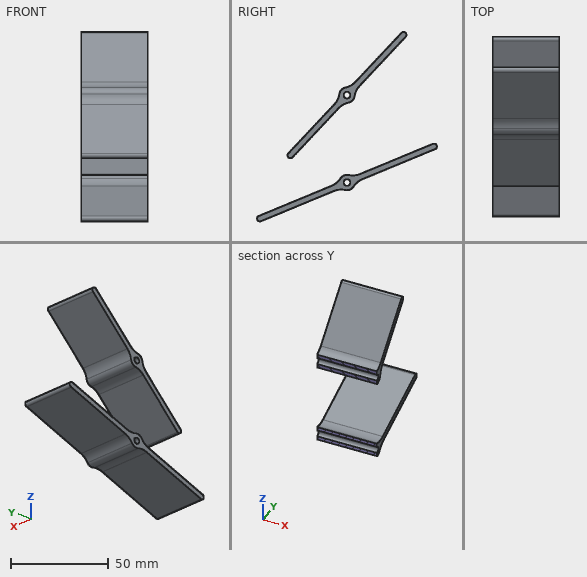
import cadquery as cq
import math

blade_width = 34.5
blade_thickness = 3.0
hub_radius = 4.0
blend_radius = 10.0
bore_diameter = 3.3

lower_half_span = 48.5
lower_tilt = 22.5
upper_half_span = 42.6
upper_tilt = 46.8
bore_spacing = 45.0


def blade_profile(half_span):
    """Flat strip with rounded tips and a hub blended in by concave arcs."""
    half_thickness = blade_thickness / 2

    blend_height = half_thickness + blend_radius
    centre_distance = hub_radius + blend_radius
    blend_offset = math.sqrt(centre_distance**2 - blend_height**2)

    hub_ratio = hub_radius / centre_distance
    hub_y = blend_offset * hub_ratio
    hub_z = blend_height * hub_ratio

    sweep = math.asin(blend_offset / centre_distance)
    mid_y = blend_offset - blend_radius * math.sin(sweep / 2)
    mid_z = blend_height - blend_radius * math.cos(sweep / 2)

    return (
        cq.Workplane("YZ")
        .moveTo(-half_span, half_thickness)
        .lineTo(-blend_offset, half_thickness)
        .threePointArc((-mid_y, mid_z), (-hub_y, hub_z))
        .threePointArc((0, hub_radius), (hub_y, hub_z))
        .threePointArc((mid_y, mid_z), (blend_offset, half_thickness))
        .lineTo(half_span, half_thickness)
        .threePointArc((half_span + half_thickness, 0), (half_span, -half_thickness))
        .lineTo(blend_offset, -half_thickness)
        .threePointArc((mid_y, -mid_z), (hub_y, -hub_z))
        .threePointArc((0, -hub_radius), (-hub_y, -hub_z))
        .threePointArc((-mid_y, -mid_z), (-blend_offset, -half_thickness))
        .lineTo(-half_span, -half_thickness)
        .threePointArc((-half_span - half_thickness, 0), (-half_span, half_thickness))
        .close()
    )


def make_blade(half_span, tilt, bore_z):
    """Blade bored through its hub, tilted about the bore and raised to bore_z."""
    bore = cq.Workplane("YZ").circle(bore_diameter / 2).extrude(blade_width)
    blade = blade_profile(half_span).extrude(blade_width).cut(bore)
    return blade.rotate((0, 0, 0), (1, 0, 0), tilt).translate((0, 0, bore_z))


lower_blade = make_blade(lower_half_span, lower_tilt, 0)
upper_blade = make_blade(upper_half_span, upper_tilt, bore_spacing)

result = cq.Compound.makeCompound([lower_blade.val(), upper_blade.val()])